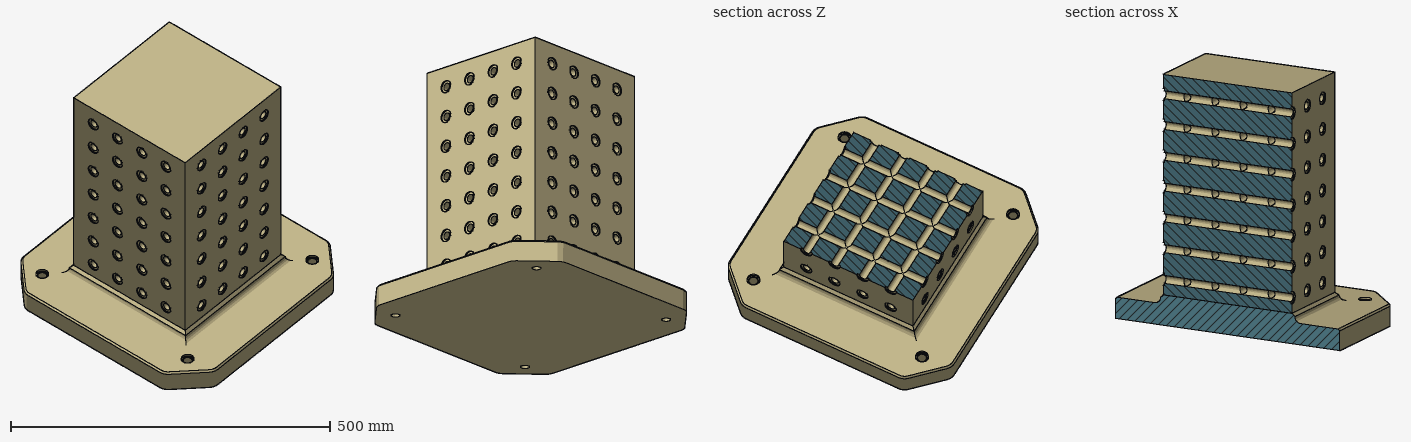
import cadquery as cq
import math

BASE_WIDTH = 400.0
BASE_THICKNESS = 35.5
BASE_CORNER_CUT = 56.5
BASE_CORNER_RADIUS = 20.0
BASE_TOP_CHAMFER = 3.0

MOUNT_HOLE_SPACING = 300.0
MOUNT_HOLE_DIAMETER = 14.0
MOUNT_BORE_DIAMETER = 20.0
MOUNT_BORE_DEPTH = 3.3
MOUNT_CHAMFER = 1.0

SEAT_CHAMFER = 5.0
COVE_RADIUS = 9.8

TOTAL_HEIGHT = 408.0
TOWER_WIDTH = 230.0

PITCHES_PER_MOUNT_SPACING = 6
GRID_PITCH = MOUNT_HOLE_SPACING / PITCHES_PER_MOUNT_SPACING
GRID_COLUMNS = 4
GRID_ROWS = 7
GRID_TOP_MARGIN = 33.0
GRID_HOLE_DIAMETER = 12.2
GRID_BORE_DIAMETER = 20.0
GRID_BORE_DEPTH = 2.0

SEAT_WIDTH = TOWER_WIDTH + 2 * SEAT_CHAMFER
SEAT_TOP = BASE_THICKNESS + COVE_RADIUS + SEAT_CHAMFER


def make_plate():
    """Square plate with cut, rounded corners and a chamfered top edge."""
    plate = cq.Workplane("XY").box(BASE_WIDTH, BASE_WIDTH, BASE_THICKNESS, centered=(True, True, False))
    plate = plate.edges("|Z").chamfer(BASE_CORNER_CUT)
    plate = plate.edges("|Z").fillet(BASE_CORNER_RADIUS)
    return plate.faces(">Z").edges().chamfer(BASE_TOP_CHAMFER)


def make_seat():
    """Square seat with a chamfered top, starting at the underside of the base."""
    seat = cq.Workplane("XY").box(SEAT_WIDTH, SEAT_WIDTH, SEAT_TOP, centered=(True, True, False))
    return seat.faces(">Z").edges().chamfer(SEAT_CHAMFER)


def make_cove_side():
    """Concave fillet along the +X side of the seat, with mitred ends."""
    inner = SEAT_WIDTH / 2
    outer = inner + COVE_RADIUS
    arc_middle = COVE_RADIUS * (1 - math.cos(math.radians(45)))
    strip = (
        cq.Workplane("XZ")
        .moveTo(inner, BASE_THICKNESS)
        .lineTo(outer, BASE_THICKNESS)
        .threePointArc(
            (inner + arc_middle, BASE_THICKNESS + arc_middle),
            (inner, BASE_THICKNESS + COVE_RADIUS),
        )
        .close()
        .extrude(outer, both=True)
    )
    wedge = (
        cq.Workplane("XY", origin=(0, 0, BASE_THICKNESS))
        .polyline([(0, 0), (outer, -outer), (outer, outer)])
        .close()
        .extrude(COVE_RADIUS)
    )
    return strip.intersect(wedge)


def make_mount_cutter():
    """Revolved cutter for one mounting hole: bore, chamfered shoulder and through hole."""
    hole_radius = MOUNT_HOLE_DIAMETER / 2
    bore_radius = MOUNT_BORE_DIAMETER / 2
    shoulder = BASE_THICKNESS - MOUNT_BORE_DEPTH
    return (
        cq.Workplane("XZ")
        .polyline([
            (0, 0),
            (hole_radius, 0),
            (hole_radius, shoulder - MOUNT_CHAMFER),
            (hole_radius + MOUNT_CHAMFER, shoulder),
            (bore_radius, shoulder),
            (bore_radius, BASE_THICKNESS),
            (0, BASE_THICKNESS),
        ])
        .close()
        .revolve(360, (0, 0), (0, 1))
    )


def make_base():
    """Plate and seat in one piece, with coves around the seat and four mounting holes."""
    base = make_plate().union(make_seat())
    cove = make_cove_side()
    mount_cutter = make_mount_cutter().translate((MOUNT_HOLE_SPACING / 2, MOUNT_HOLE_SPACING / 2, 0))
    for quarter in range(4):
        angle = 90 * quarter
        base = base.union(cove.rotate((0, 0, 0), (0, 0, 1), angle))
        base = base.cut(mount_cutter.rotate((0, 0, 0), (0, 0, 1), angle))
    return base


def make_grid_cutters():
    """Cutters for the through holes along Y and the counterbores at both tower faces."""
    half = TOWER_WIDTH / 2
    middle_row = TOTAL_HEIGHT - GRID_TOP_MARGIN - GRID_PITCH * (GRID_ROWS - 1) / 2

    def cylinders(diameter, start, length):
        return (
            cq.Workplane("XZ", origin=(0, start, middle_row))
            .rarray(GRID_PITCH, GRID_PITCH, GRID_COLUMNS, GRID_ROWS)
            .circle(diameter / 2)
            .extrude(-length)
        )

    holes = cylinders(GRID_HOLE_DIAMETER, -half, TOWER_WIDTH)
    front_bores = cylinders(GRID_BORE_DIAMETER, -half, GRID_BORE_DEPTH)
    back_bores = cylinders(GRID_BORE_DIAMETER, half - GRID_BORE_DEPTH, GRID_BORE_DEPTH)
    return [holes, front_bores, back_bores]


def make_tower():
    """Square column standing on the seat, pierced by the two hole grids."""
    tower = cq.Workplane("XY", origin=(0, 0, SEAT_TOP)).box(
        TOWER_WIDTH, TOWER_WIDTH, TOTAL_HEIGHT - SEAT_TOP, centered=(True, True, False)
    )
    for cutter in make_grid_cutters():
        tower = tower.cut(cutter)
        tower = tower.cut(cutter.rotate((0, 0, 0), (0, 0, 1), 90))
    return tower


base = make_base()
tower = make_tower()

result = cq.Compound.makeCompound([base.val(), tower.val()])